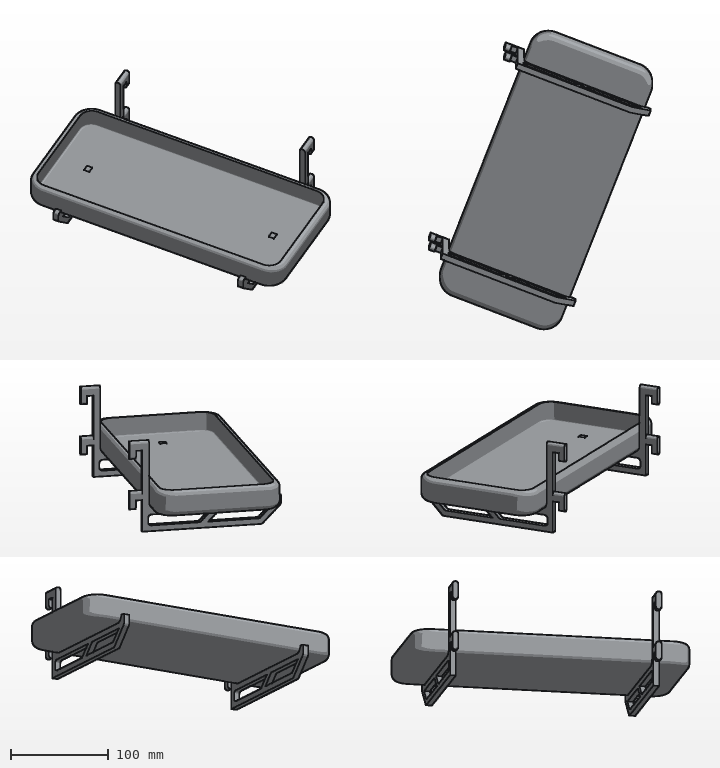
import cadquery as cq

tray_length = 291.16
overall_depth = 159.08
bracket_height = 96.2

tray_depth = 132.6
tray_height = 27.2
tray_corner_radius = 19.9
wall_thickness = 6.4
floor_thickness = 7.1
rim_radius = 5.5
base_radius = 7.1
floor_edge_radius = 1.5

bracket_spacing = 211.9
bracket_width = 6.1
member_thickness = 6.1
slot_height = 11.6
post_thickness = 7.0
lip_thickness = 6.3
lip_top_radius = 2.5
nose_height = 20.4
nose_radius = 5.5
slot_radius = 3.5
rib_center = 2.65

hook_tip_thickness = 6.4
hook_arm_height = 9.8
upper_hook_drop = 18.9
lower_hook_drop = 19.6

peg_depth = 7.0

tray_back = tray_depth / 2
tray_front = -tray_depth / 2
shelf_top = 2 * member_thickness + slot_height
lip_top = shelf_top + base_radius
lip_front = tray_front - lip_thickness
hook_back = lip_front + overall_depth
post_back = tray_back + post_thickness
post_top = bracket_height - bracket_width / 2
lower_hook_top = shelf_top + lower_hook_drop
peg_top = shelf_top + floor_thickness
diagonal_run = member_thickness * 2 ** 0.5


def make_peg():
    """Block that fills the hole in the tray floor, centred under the tray in Y."""
    return (
        cq.Workplane("XY")
        .workplane(offset=shelf_top)
        .rect(bracket_width, peg_depth)
        .extrude(floor_thickness)
    )


def plate_from(outline):
    """Extrude a closed YZ outline to the bracket width, centred on X = 0."""
    return outline.close().extrude(bracket_width / 2, both=True)


def make_frame():
    """Post, shelf and lip in one plate, with the cradle rounded to the tray's base edge."""
    arc_reach = base_radius * (1 - 0.5 ** 0.5)
    outline = (
        cq.Workplane("YZ")
        .moveTo(post_back, 0)
        .lineTo(post_back, post_top)
        .lineTo(tray_back, post_top)
        .lineTo(tray_back, lip_top)
        .threePointArc(
            (tray_back - arc_reach, shelf_top + arc_reach),
            (tray_back - base_radius, shelf_top),
        )
        .lineTo(tray_front + base_radius, shelf_top)
        .threePointArc(
            (tray_front + arc_reach, shelf_top + arc_reach),
            (tray_front, lip_top),
        )
        .lineTo(lip_front, lip_top)
        .lineTo(lip_front, nose_height)
        .lineTo(lip_front + nose_height, 0)
    )
    frame = plate_from(outline)
    frame = round_cross_edge(frame, lip_front, lip_top, lip_top_radius)
    frame = round_cross_edge(frame, lip_front, nose_height, nose_radius)
    return round_cross_edge(frame, lip_front + nose_height, 0, slot_radius)


def round_cross_edge(body, y, z, radius):
    """Fillet the edge that runs along X through the point (y, z)."""
    edge = body.edges(cq.selectors.NearestToPointSelector((0, y, z)))
    return edge.fillet(radius)


def make_slots():
    """Cutters for the two openings between base and shelf, split by a 45 degree bar."""
    low = member_thickness
    high = low + slot_height
    slot_back = post_back - member_thickness
    front_end = lip_front + nose_height - low + diagonal_run
    rib_back = rib_center + (slot_height + diagonal_run) / 2
    rib_front = rib_back - diagonal_run

    rear = plate_from(
        cq.Workplane("YZ")
        .moveTo(slot_back, low)
        .lineTo(slot_back, high)
        .lineTo(rib_back - slot_height, high)
        .lineTo(rib_back, low)
    )
    front = plate_from(
        cq.Workplane("YZ")
        .moveTo(rib_front, low)
        .lineTo(rib_front - slot_height, high)
        .lineTo(front_end - slot_height, high)
        .lineTo(front_end, low)
    )
    rear = round_cross_edge(rear, slot_back, low, slot_radius)
    rear = round_cross_edge(rear, slot_back, high, slot_radius)
    rear = round_cross_edge(rear, rib_back, low, slot_radius)
    front = round_cross_edge(front, rib_front - slot_height, high, slot_radius)
    front = round_cross_edge(front, front_end, low, slot_radius)
    return rear.union(front)


def make_hook(top, drop, arm_front):
    """Arm reaching back from arm_front with a tip hanging down, both fully rounded across X."""
    under = top - hook_arm_height
    tip_front = hook_back - hook_tip_thickness
    hook = plate_from(
        cq.Workplane("YZ")
        .moveTo(arm_front, top)
        .lineTo(hook_back, top)
        .lineTo(hook_back, top - drop)
        .lineTo(tip_front, top - drop)
        .lineTo(tip_front, under)
        .lineTo(arm_front, under)
    )
    rounded_bar = (
        cq.Workplane("XZ", origin=(0, hook_back, top - drop / 2))
        .slot2D(drop, bracket_width, 90)
        .extrude(hook_back - arm_front)
    )
    return hook.intersect(rounded_bar)


def make_bracket():
    """One wall bracket: frame with slots, two hooks and a peg."""
    return (
        make_frame()
        .cut(make_slots())
        .union(make_hook(bracket_height, upper_hook_drop, tray_back))
        .union(make_hook(lower_hook_top, lower_hook_drop, post_back))
        .union(make_peg())
    )


def make_tray(peg_places):
    """Open tray with rounded corners and rims, and a floor hole for each peg."""
    body = (
        cq.Workplane("XY")
        .workplane(offset=shelf_top)
        .rect(tray_length, tray_depth)
        .extrude(tray_height)
        .edges("|Z")
        .fillet(tray_corner_radius)
    )
    body = body.faces("<Z").edges().fillet(base_radius)
    body = body.faces(">Z").edges().fillet(rim_radius)
    cavity = (
        cq.Workplane("XY")
        .workplane(offset=peg_top)
        .rect(tray_length - 2 * wall_thickness, tray_depth - 2 * wall_thickness)
        .extrude(tray_height)
        .edges("|Z")
        .fillet(tray_corner_radius - wall_thickness)
    )
    cavity = cavity.faces("<Z").edges().fillet(floor_edge_radius)
    tray = body.cut(cavity)
    for x in peg_places:
        tray = tray.cut(make_peg().translate((x, 0, 0)))
    return tray


bracket_places = [-bracket_spacing / 2, bracket_spacing / 2]
tray = make_tray(bracket_places)
brackets = [make_bracket().translate((x, 0, 0)) for x in bracket_places]

result = cq.Compound.makeCompound([tray.val(), *[bracket.val() for bracket in brackets]])